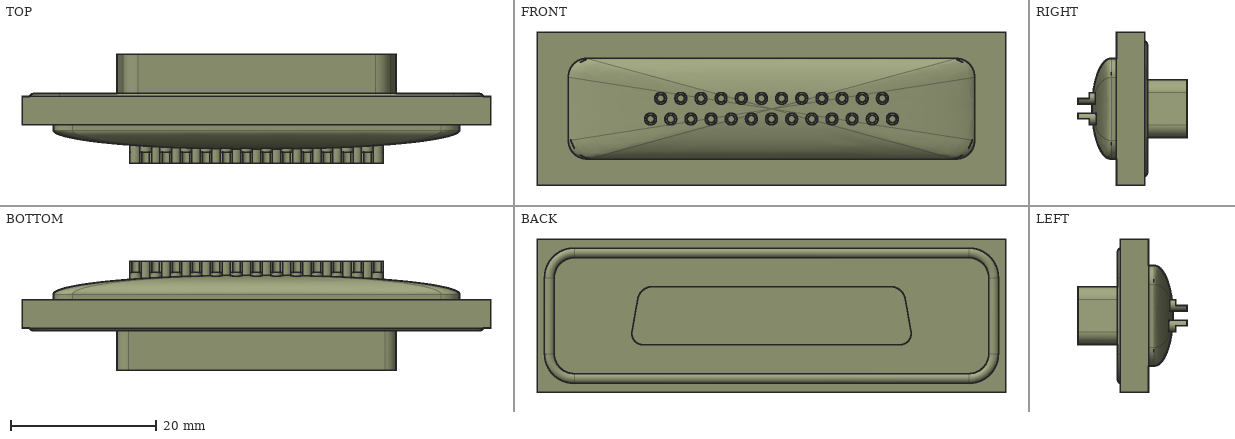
import cadquery as cq
import math


PANEL_LENGTH = 64.5
PANEL_HEIGHT = 21.1
PANEL_THICKNESS = 3.95

RING_SECTION_RADIUS = 0.8
RING_PROTRUSION = 0.4
RING_LENGTH = 61.15
RING_HEIGHT = 17.3
RING_CORNER_RADIUS = 3.4

SHELL_WIDTH = 38.45
SHELL_HEIGHT = 8.0
SHELL_PROJECTION = 5.8
SHELL_SIDE_TILT = math.radians(10)
SHELL_TOP_RADIUS = 2.05
SHELL_BOTTOM_RADIUS = 1.55

COVER_LENGTH = 55.9
COVER_HEIGHT = 13.85
COVER_CORNER_RADIUS = 2.6
COVER_RIM = 0.7
DOME_RISE = 2.65
DOME_STEPS = 6

PIN_PITCH = 2.8
PIN_ROW_GAP = 2.85
PIN_DIAMETER = 1.6
PIN_REACH = 5.3
TOP_ROW_COUNT = 12
BOTTOM_ROW_COUNT = 13
CUP_DIAMETER = 1.0
CUP_DEPTH = 1.95
CUP_OPENING = 1.55


def front_plane(y):
    """Sketch plane at the given Y, with local axes +X and +Z and its normal along -Y."""
    return cq.Workplane("XZ", origin=(0, y, 0))


def rounded_rectangle(length, height, radius, y):
    """Closed rounded rectangle centred on the Y axis, starting at the left end of its top side."""
    half_length = length / 2
    half_height = height / 2
    straight_x = half_length - radius
    straight_z = half_height - radius
    arc_x = straight_x + radius * math.sqrt(0.5)
    arc_z = straight_z + radius * math.sqrt(0.5)
    return (
        front_plane(y)
        .moveTo(-straight_x, half_height)
        .lineTo(straight_x, half_height)
        .threePointArc((arc_x, arc_z), (half_length, straight_z))
        .lineTo(half_length, -straight_z)
        .threePointArc((arc_x, -arc_z), (straight_x, -half_height))
        .lineTo(-straight_x, -half_height)
        .threePointArc((-arc_x, -arc_z), (-half_length, -straight_z))
        .lineTo(-half_length, straight_z)
        .threePointArc((-arc_x, arc_z), (-straight_x, half_height))
        .close()
    )


def make_panel():
    plate = front_plane(PANEL_THICKNESS).rect(PANEL_LENGTH, PANEL_HEIGHT).extrude(PANEL_THICKNESS)
    return plate.cut(make_shell()).cut(make_ring())


def make_ring():
    center_y = PANEL_THICKNESS + RING_PROTRUSION - RING_SECTION_RADIUS
    path = rounded_rectangle(RING_LENGTH, RING_HEIGHT, RING_CORNER_RADIUS, center_y)
    path_start_x = RING_CORNER_RADIUS - RING_LENGTH / 2
    section = (
        cq.Workplane("YZ", origin=(path_start_x, center_y, RING_HEIGHT / 2))
        .circle(RING_SECTION_RADIUS)
    )
    return section.sweep(path)


def make_shell():
    """D-shaped block, wider at the bottom, reaching from the panel front face to the rear end."""
    half_height = SHELL_HEIGHT / 2
    tilt_tan = math.tan(SHELL_SIDE_TILT)
    fillet_inset = SHELL_BOTTOM_RADIUS * (1 / math.cos(SHELL_SIDE_TILT) - 1 + tilt_tan)
    bottom_half = SHELL_WIDTH / 2 + fillet_inset
    top_half = bottom_half - SHELL_HEIGHT * tilt_tan
    return (
        front_plane(PANEL_THICKNESS + SHELL_PROJECTION)
        .polyline([
            (-bottom_half, -half_height),
            (bottom_half, -half_height),
            (top_half, half_height),
            (-top_half, half_height),
        ])
        .close()
        .extrude(PANEL_THICKNESS + SHELL_PROJECTION)
        .edges("|Y and >Z").fillet(SHELL_TOP_RADIUS)
        .edges("|Y and <Z").fillet(SHELL_BOTTOM_RADIUS)
    )


def pin_places():
    """Centre (x, z) and outward Z direction of every pin."""
    places = []
    for count, side in ((TOP_ROW_COUNT, 1), (BOTTOM_ROW_COUNT, -1)):
        for i in range(count):
            x = (i - (count - 1) / 2) * PIN_PITCH
            places.append((x, side * PIN_ROW_GAP / 2, side))
    return places


def pin_rod(x, z):
    """Plain rod from the panel front face to the pin tip."""
    direction = cq.Vector(0, -1, 0)
    return cq.Solid.makeCylinder(PIN_DIAMETER / 2, PIN_REACH, cq.Vector(x, 0, z), direction)


def make_pin(x, z, side):
    """Solder-cup pin whose tip is open on its outward side."""
    cup_start = cq.Vector(x, CUP_DEPTH - PIN_REACH, z)
    cup = cq.Solid.makeCylinder(CUP_DIAMETER / 2, CUP_DEPTH, cup_start, cq.Vector(0, -1, 0))
    opening = (
        cq.Workplane("XY")
        .box(PIN_DIAMETER, CUP_OPENING, PIN_DIAMETER)
        .translate((x, CUP_OPENING / 2 - PIN_REACH, z + side * PIN_DIAMETER / 2))
    )
    return pin_rod(x, z).cut(cup).cut(opening.val())


def make_connector():
    connector = make_shell()
    for x, z, side in pin_places():
        connector = connector.union(cq.Workplane(make_pin(x, z, side)))
    return connector


def cover_outline(scale, y):
    """Cover outline at the given Y, scaled about the Y axis."""
    return rounded_rectangle(COVER_LENGTH * scale, COVER_HEIGHT * scale, COVER_CORNER_RADIUS * scale, y)


def make_dome():
    """Dome whose outline shrinks along a quarter ellipse from the rim to a point at the apex."""
    sections = []
    for i in range(DOME_STEPS):
        angle = math.pi / 2 * i / DOME_STEPS
        outline = cover_outline(math.cos(angle), -COVER_RIM - DOME_RISE * math.sin(angle))
        sections.append(outline.val())
    apex = cq.Vertex.makeVertex(0, -COVER_RIM - DOME_RISE, 0)
    return cq.occ_impl.shapes.loft(*sections, apex, cap=True)


def make_cover():
    cover = cover_outline(1, 0).extrude(COVER_RIM).union(cq.Workplane(make_dome()), clean=False)
    rods = [pin_rod(x, z) for x, z, _ in pin_places()]
    return cover.cut(cq.Workplane(cq.Compound.makeCompound(rods)), clean=False)


panel = make_panel()
ring = make_ring()
connector = make_connector()
cover = make_cover()

result = cq.Compound.makeCompound([
    panel.solids().val(),
    ring.solids().val(),
    connector.solids().val(),
    cover.solids().val(),
])